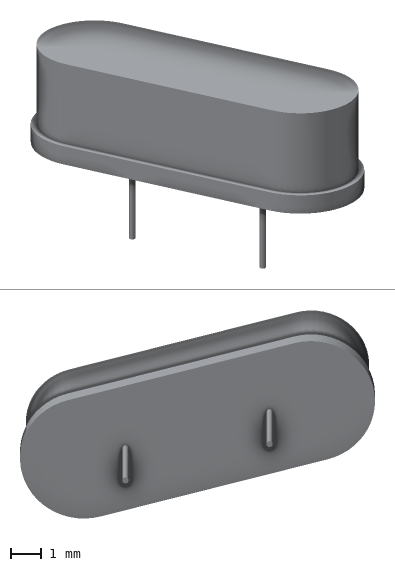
import cadquery as cq

base_length = 11.89
base_width = 4.19
base_height = 0.65

ledge = 0.19
can_height = 2.85
can_length = base_length - 2 * ledge
can_width = base_width - 2 * ledge

pin_diameter = 0.2
pin_length = 3.15
pin_spacing = 4.89


def make_base():
    """Flat flange with full-round ends, its underside at Z = 0."""
    return cq.Workplane("XY").slot2D(base_length, base_width).extrude(base_height)


def make_can():
    """Tall cover with full-round ends, standing on the base."""
    return (
        cq.Workplane("XY")
        .workplane(offset=base_height)
        .slot2D(can_length, can_width)
        .extrude(can_height)
    )


def make_pin(x):
    """Round lead hanging from the underside of the base."""
    return cq.Workplane("XY").center(x, 0).circle(pin_diameter / 2).extrude(-pin_length)


base = make_base()
can = make_can()
pins = [make_pin(side * pin_spacing / 2) for side in (-1, 1)]

result = cq.Compound.makeCompound([base.val(), can.val(), *[pin.val() for pin in pins]])